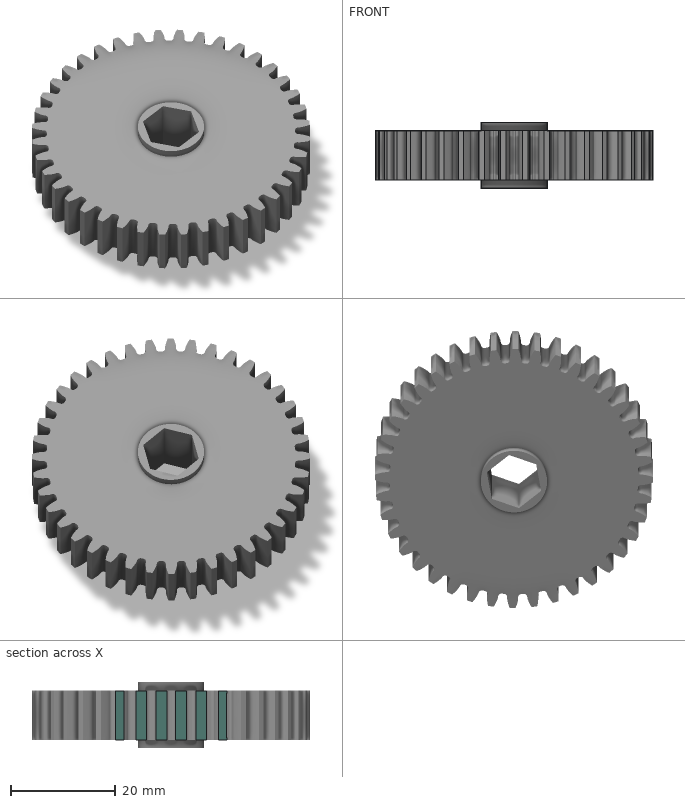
import cadquery as cq
import math

INCH = 25.4
TOOTH_COUNT = 40
DIAMETRAL_PITCH = 20
MODULE = INCH / DIAMETRAL_PITCH
PRESSURE_ANGLE = math.radians(14.5)
DEDENDUM_FACTOR = 1.25
ROOT_FILLET_RADIUS = 0.65
BACKLASH = 0.08
FACE_WIDTH = 0.375 * INCH
HUB_DIAMETER = 0.5 * INCH
HUB_LENGTH = 12.65
HEX_ACROSS_FLATS = 9.6
HEX_SIDES = 6
FLANK_POINTS = 6

PITCH_RADIUS = MODULE * TOOTH_COUNT / 2
TIP_RADIUS = PITCH_RADIUS + MODULE
ROOT_RADIUS = PITCH_RADIUS - DEDENDUM_FACTOR * MODULE
BASE_RADIUS = PITCH_RADIUS * math.cos(PRESSURE_ANGLE)
TOOTH_PITCH = 2 * math.pi / TOOTH_COUNT

PITCH_HALF_ANGLE = TOOTH_PITCH / 4 - BACKLASH / 2 / PITCH_RADIUS
BASE_HALF_ANGLE = PITCH_HALF_ANGLE + math.tan(PRESSURE_ANGLE) - PRESSURE_ANGLE

FILLET_CENTRE_RADIUS = ROOT_RADIUS + ROOT_FILLET_RADIUS
FILLET_ANGLE = math.asin(ROOT_FILLET_RADIUS / FILLET_CENTRE_RADIUS)
FOOT_RADIUS = FILLET_CENTRE_RADIUS * math.cos(FILLET_ANGLE)
ROOT_HALF_ANGLE = BASE_HALF_ANGLE + FILLET_ANGLE


def polar(radius, angle):
    """Point at a radius and an angle in radians."""
    return (radius * math.cos(angle), radius * math.sin(angle))


def flank(centre_angle, side):
    """Involute points from base circle to tip circle; side is -1 or +1 of the tooth centre."""
    tip_roll = math.sqrt((TIP_RADIUS / BASE_RADIUS) ** 2 - 1)
    points = []
    for i in range(FLANK_POINTS):
        roll = tip_roll * i / (FLANK_POINTS - 1)
        radius = BASE_RADIUS * math.sqrt(1 + roll**2)
        half_angle = BASE_HALF_ANGLE - (roll - math.atan(roll))
        points.append(polar(radius, centre_angle + side * half_angle))
    return points


def fillet_middle(centre_angle, side):
    """Point halfway along the root fillet on one side of a tooth."""
    centre_x, centre_y = polar(FILLET_CENTRE_RADIUS, centre_angle + side * ROOT_HALF_ANGLE)
    flank_direction = centre_angle + side * (BASE_HALF_ANGLE - math.pi / 2)
    root_direction = centre_angle + side * ROOT_HALF_ANGLE + math.pi
    flank_x, flank_y = polar(1, flank_direction)
    root_x, root_y = polar(1, root_direction)
    middle_direction = math.atan2(flank_y + root_y, flank_x + root_x)
    offset_x, offset_y = polar(ROOT_FILLET_RADIUS, middle_direction)
    return (centre_x + offset_x, centre_y + offset_y)


def add_tooth(outline, angle):
    """Continue the outline over one tooth and along the root to the next tooth."""
    rising = flank(angle, -1)
    falling = flank(angle, 1)[::-1]
    outline = outline.threePointArc(fillet_middle(angle, -1), polar(FOOT_RADIUS, angle - BASE_HALF_ANGLE))
    outline = outline.lineTo(*rising[0])
    outline = outline.spline(rising[1:], includeCurrent=True)
    outline = outline.threePointArc(polar(TIP_RADIUS, angle), falling[0])
    outline = outline.spline(falling[1:], includeCurrent=True)
    outline = outline.lineTo(*polar(FOOT_RADIUS, angle + BASE_HALF_ANGLE))
    outline = outline.threePointArc(fillet_middle(angle, 1), polar(ROOT_RADIUS, angle + ROOT_HALF_ANGLE))
    return outline.threePointArc(
        polar(ROOT_RADIUS, angle + TOOTH_PITCH / 2),
        polar(ROOT_RADIUS, angle + TOOTH_PITCH - ROOT_HALF_ANGLE),
    )


def make_toothed_disc():
    """Toothed disc centred on Z = 0, with tooth gaps centred on the X and Y axes."""
    first_angle = TOOTH_PITCH / 2
    outline = cq.Workplane("XY", origin=(0, 0, -FACE_WIDTH / 2))
    outline = outline.moveTo(*polar(ROOT_RADIUS, first_angle - ROOT_HALF_ANGLE))
    for i in range(TOOTH_COUNT):
        outline = add_tooth(outline, first_angle + i * TOOTH_PITCH)
    return outline.close().extrude(FACE_WIDTH)


def make_hub():
    """Round hub standing proud of both faces of the disc."""
    return cq.Workplane("XY").circle(HUB_DIAMETER / 2).extrude(HUB_LENGTH / 2, both=True)


def make_bore():
    """Hexagonal through bore with two corners on the Y axis."""
    corner_diameter = HEX_ACROSS_FLATS / math.cos(math.pi / HEX_SIDES)
    quarter_turn = 90
    hexagon = cq.Workplane("XY").polygon(HEX_SIDES, corner_diameter)
    return hexagon.extrude(HUB_LENGTH / 2, both=True).rotate((0, 0, 0), (0, 0, 1), quarter_turn)


result = make_toothed_disc().union(make_hub()).cut(make_bore())